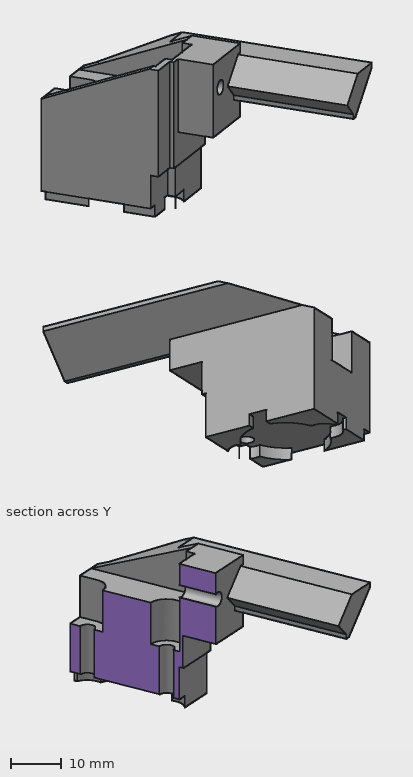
import cadquery as cq

BODY_LENGTH = 25.5
BODY_WIDTH = 20.5
HEIGHT = 32.0
LOW_WALL_HEIGHT = 22.0
SLOPE_LENGTH = 23.5

PLATE_END_X = 26.4
PLATE_START_Y = 5.5
PLATE_BOTTOM_Z = 9.5
BLOCK_END_X = 34.0
BLOCK_START_Y = 7.5
BLOCK_BOTTOM_Z = 16.5

FLOOR_Z = LOW_WALL_HEIGHT
FRONT_WALL = 2.0
POCKET_BACK_Y = 18.0
POCKET_FRONT_END_X = 24.0
RECESS_BACK_Y = 16.0

SCREW_Y = BODY_WIDTH / 2
SCREW_X_LEFT = 4.0
SCREW_X_RIGHT = 22.5
SCREW_DIAMETER = 3.2
SEAT_RADIUS = 3.6
SEAT_FLOOR_Z = 13.0

CROSS_HOLE_DIAMETER = 3.0
CROSS_HOLE_Y = 11.0
CROSS_HOLE_Z = 26.0

FOOT_HEIGHT = 2.5
FOOT_SETBACK = 2.1
GROOVE_WIDTH = 3.0
CHANNEL_WIDTH = 4.0
RELIEF_RADIUS = 9.0
SCREW_RELIEF_RADIUS = SEAT_RADIUS
NOTCH_START_X = 23.8
NOTCH_DEPTH = 8.2

RAIL_END_X = 60.0
RAIL_TOP_Z = 30.0
RAIL_BACK_Y = 26.35
RAIL_BACK_EDGE_HEIGHT = 1.0
RAIL_TOP_FRONT_Y = 19.5
RAIL_BEVEL = 5.0
RAIL_UNDERCUT = 2.9
RAIL_BOTTOM_Z = 21.1


def box_between(x_range, y_range, z_range):
    """Box spanning the given (low, high) limits on each axis."""
    lows, highs = zip(x_range, y_range, z_range)
    sizes = [high - low for low, high in zip(lows, highs)]
    return cq.Workplane("XY").box(*sizes, centered=False).translate(lows)


def upright_cylinder(x, y, radius, z_low, z_high):
    return cq.Workplane("XY", origin=(x, y, z_low)).circle(radius).extrude(z_high - z_low)


def make_rail():
    """Bar with a hooked section, running the full length before its left end is sloped off."""
    nose_y = RAIL_TOP_FRONT_Y - RAIL_BEVEL
    nose_z = RAIL_TOP_Z - RAIL_BEVEL
    lip_y = nose_y + RAIL_UNDERCUT
    lip_z = nose_z - RAIL_UNDERCUT
    back_edge_z = RAIL_TOP_Z - RAIL_BACK_EDGE_HEIGHT
    bottom_back_y = RAIL_BACK_Y - (back_edge_z - RAIL_BOTTOM_Z)
    section = [
        (RAIL_BACK_Y, RAIL_TOP_Z),
        (RAIL_TOP_FRONT_Y, RAIL_TOP_Z),
        (nose_y, nose_z),
        (lip_y, lip_z),
        (lip_y, RAIL_BOTTOM_Z),
        (bottom_back_y, RAIL_BOTTOM_Z),
        (RAIL_BACK_Y, back_edge_z),
    ]
    return cq.Workplane("YZ").polyline(section).close().extrude(RAIL_END_X)


def make_slope_cutter():
    """Wedge above the plane that rises from the low left wall to the full height."""
    return (
        cq.Workplane("XZ", origin=(0, RAIL_BACK_Y, 0))
        .polyline([(0, LOW_WALL_HEIGHT), (SLOPE_LENGTH, HEIGHT), (0, HEIGHT)])
        .close()
        .extrude(RAIL_BACK_Y)
    )


def make_shell():
    """Body, end plate, block and rail joined together, with the slope cut across all of them."""
    body = box_between((0, BODY_LENGTH), (0, BODY_WIDTH), (0, HEIGHT))
    plate = box_between((0, PLATE_END_X), (PLATE_START_Y, BODY_WIDTH), (PLATE_BOTTOM_Z, HEIGHT))
    block = box_between((0, BLOCK_END_X), (BLOCK_START_Y, BODY_WIDTH), (BLOCK_BOTTOM_Z, HEIGHT))
    return body.union(plate).union(block).union(make_rail()).cut(make_slope_cutter())


def make_pocket():
    recess_front_y = SCREW_Y - SEAT_RADIUS
    heights = (FLOOR_Z, HEIGHT)
    main = box_between((0, SLOPE_LENGTH), (FRONT_WALL, POCKET_BACK_Y), heights)
    front_corner = box_between((0, POCKET_FRONT_END_X), (FRONT_WALL, recess_front_y), heights)
    recess = box_between((0, BODY_LENGTH), (recess_front_y, RECESS_BACK_Y), heights)
    return main.union(front_corner).union(recess)


def make_screw_seat(screw_x, open_end_x):
    """Well with a round inner end, open straight out to one end, and its screw hole."""
    x_range = sorted((screw_x, open_end_x))
    y_range = (SCREW_Y - SEAT_RADIUS, SCREW_Y + SEAT_RADIUS)
    opening = box_between(x_range, y_range, (SEAT_FLOOR_Z, FLOOR_Z))
    rounded = upright_cylinder(screw_x, SCREW_Y, SEAT_RADIUS, SEAT_FLOOR_Z, FLOOR_Z)
    rounded = rounded.intersect(box_between((0, BODY_LENGTH), y_range, (SEAT_FLOOR_Z, FLOOR_Z)))
    hole = upright_cylinder(screw_x, SCREW_Y, SCREW_DIAMETER / 2, 0, FLOOR_Z)
    return opening.union(rounded).union(hole)


def make_cross_hole():
    return (
        cq.Workplane("YZ", origin=(0, CROSS_HOLE_Y, CROSS_HOLE_Z))
        .circle(CROSS_HOLE_DIAMETER / 2)
        .extrude(BLOCK_END_X)
    )


def make_underside_relief():
    """Front setback, crossed grooves and round reliefs that leave separate feet."""
    middle_x = (SCREW_X_LEFT + SCREW_X_RIGHT) / 2
    heights = (0, FOOT_HEIGHT)
    channel_x = (middle_x - CHANNEL_WIDTH / 2, middle_x + CHANNEL_WIDTH / 2)
    groove_y = (SCREW_Y - GROOVE_WIDTH / 2, SCREW_Y + GROOVE_WIDTH / 2)
    setback = box_between((0, BODY_LENGTH), (0, FOOT_SETBACK), heights)
    groove = box_between((0, BODY_LENGTH), groove_y, heights)
    channel = box_between(channel_x, (0, BODY_WIDTH), heights)
    middle_relief = upright_cylinder(middle_x, SCREW_Y, RELIEF_RADIUS, *heights)
    relief = setback.union(groove).union(channel).union(middle_relief)
    for screw_x in (SCREW_X_LEFT, SCREW_X_RIGHT):
        relief = relief.union(upright_cylinder(screw_x, SCREW_Y, SCREW_RELIEF_RADIUS, *heights))
    return relief


def make_corner_notch():
    """Relief of the lower front right corner, below the end plate."""
    return box_between((NOTCH_START_X, BODY_LENGTH), (0, NOTCH_DEPTH), (0, PLATE_BOTTOM_Z))


result = (
    make_shell()
    .cut(make_pocket())
    .cut(make_screw_seat(SCREW_X_LEFT, 0))
    .cut(make_screw_seat(SCREW_X_RIGHT, BODY_LENGTH))
    .cut(make_cross_hole())
    .cut(make_underside_relief())
    .cut(make_corner_notch())
)